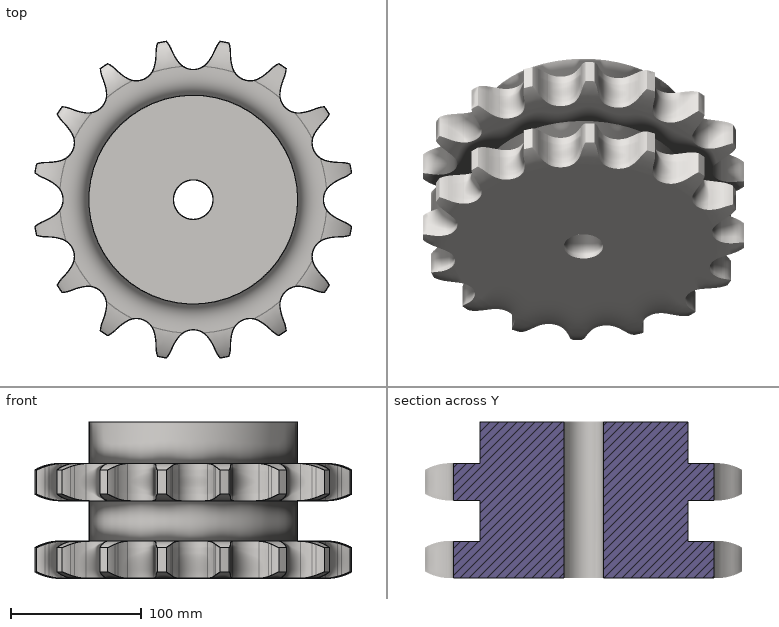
import cadquery as cq
import math

tooth_count = 16
chain_pitch = 44.5
roller_diameter = 28.0
roller_clearance = 0.075

row_thickness = 28.7
row_spacing = 59.5
overall_width = 242.8
overall_height = 120.0
hub_diameter = 160.0
bore_diameter = 30.0

relief_start_radius = 102.5
relief_depth = 5.0

tip_overshoot = 12.1

half_tooth_angle = 180 / tooth_count
seat_angle = 35 + 60 / tooth_count
working_angle = 18 - 56 / tooth_count
flank_angle = seat_angle - working_angle
topping_angle = 17 - 64 / tooth_count

pitch_radius = chain_pitch / (2 * math.sin(math.radians(half_tooth_angle)))
seat_radius = (1.005 * roller_diameter + roller_clearance) / 2
working_offset = 0.8 * roller_diameter
working_radius = 1.3025 * roller_diameter + roller_clearance / 2
topping_offset = 1.4 * roller_diameter
topping_radius = (
    working_offset * math.cos(math.radians(working_angle))
    + topping_offset * math.cos(math.radians(topping_angle))
    - working_radius
)


def polar(center, radius, angle):
    """Point at a distance and an angle (degrees from +X) from a center."""
    turn = math.radians(angle)
    return (center[0] + radius * math.cos(turn), center[1] + radius * math.sin(turn))


seat_center = (0, pitch_radius)
working_center = polar(seat_center, working_offset, 180 - seat_angle)
topping_center = polar(seat_center, topping_offset, -half_tooth_angle)

corner_y = overall_width / 2
corner_angle = 180 - math.degrees(math.asin((corner_y - topping_center[1]) / topping_radius))
tip_corner = polar(topping_center, topping_radius, corner_angle)
tip_radius = math.hypot(*tip_corner)


def mirrored(point):
    """Same point on the left side of the gap."""
    return (-point[0], point[1])


def tooth_gap(height):
    """Cutter for the gap on +Y, open beyond the tooth tips."""
    seat_end = polar(seat_center, seat_radius, -seat_angle)
    working_middle = polar(working_center, working_radius, -(seat_angle + flank_angle) / 2)
    working_end = polar(working_center, working_radius, -flank_angle)
    topping_start = polar(topping_center, topping_radius, 180 - flank_angle)
    topping_middle = polar(topping_center, topping_radius, (180 - flank_angle + corner_angle) / 2)
    opening = (tip_corner[0], tip_radius + tip_overshoot)
    return (
        cq.Workplane("XY")
        .moveTo(*mirrored(seat_end))
        .threePointArc((0, pitch_radius - seat_radius), seat_end)
        .threePointArc(working_middle, working_end)
        .lineTo(*topping_start)
        .threePointArc(topping_middle, tip_corner)
        .lineTo(*opening)
        .lineTo(*mirrored(opening))
        .lineTo(*mirrored(tip_corner))
        .threePointArc(mirrored(topping_middle), mirrored(topping_start))
        .lineTo(*mirrored(working_end))
        .threePointArc(mirrored(working_middle), mirrored(seat_end))
        .close()
        .extrude(height)
    )


def toothed_row():
    """One toothed plate standing on Z = 0, its rim rounded on both sides."""
    relief_length = tip_radius - relief_start_radius
    relief_radius = (relief_length**2 + relief_depth**2) / (2 * relief_depth)
    half_length = relief_length / 2
    middle_depth = relief_radius - math.sqrt(relief_radius**2 - half_length**2)
    middle_radius = relief_start_radius + half_length
    row = (
        cq.Workplane("XZ")
        .lineTo(relief_start_radius, 0)
        .threePointArc((middle_radius, middle_depth), (tip_radius, relief_depth))
        .lineTo(tip_radius, row_thickness - relief_depth)
        .threePointArc((middle_radius, row_thickness - middle_depth), (relief_start_radius, row_thickness))
        .lineTo(0, row_thickness)
        .close()
        .revolve(360, (0, 0, 0), (0, 1, 0))
    )
    gap = tooth_gap(row_thickness)
    for index in range(tooth_count):
        row = row.cut(gap.rotate((0, 0, 0), (0, 0, 1), index * 360 / tooth_count))
    return row


hub = cq.Workplane("XY").circle(hub_diameter / 2).extrude(overall_height)
bore = cq.Workplane("XY").circle(bore_diameter / 2).extrude(overall_height)
lower_row = toothed_row()
upper_row = lower_row.translate((0, 0, row_spacing))

result = hub.union(lower_row).union(upper_row).cut(bore)